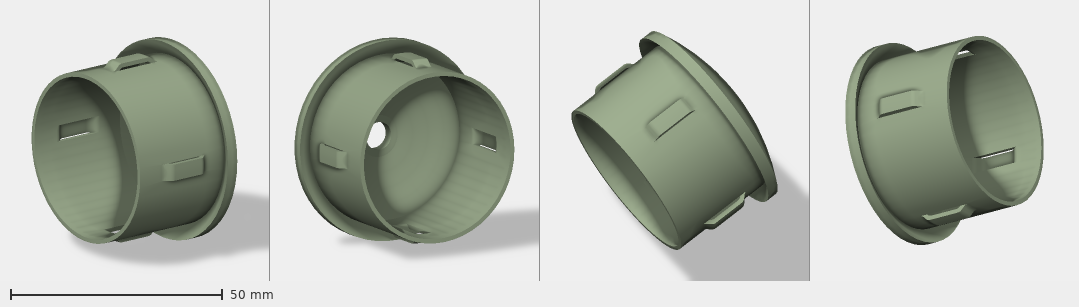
import cadquery as cq
import math

cap_radius = 24.15
rim_height = 2.85
dome_radius = 50.0
flat_radius = 5.0
hole_radius = 3.35

tube_radius = 20.58
wall = 1.0
tube_length = 23.55
bore_radius = tube_radius - wall

strap_count = 4
strap_width = 4.0
strap_length = 13.6
strap_start = 6.4
strap_rise = 1.6
bend_radius = 1.55
ramp_angle = math.radians(45)
ramp_rise = strap_rise - 2 * bend_radius * (1 - math.cos(ramp_angle))
ramp_run = 2 * bend_radius * math.sin(ramp_angle) + ramp_rise / math.tan(ramp_angle)
inner_setback = wall * math.tan(ramp_angle / 2)
strap_middle = strap_start + strap_length / 2


def sphere_drop(radius):
    """Depth of the dome sphere below its pole at a given radius."""
    return dome_radius - math.sqrt(dome_radius**2 - radius**2)


dome_rise = sphere_drop(cap_radius) - sphere_drop(flat_radius)
mid_radius = (flat_radius + cap_radius) / 2
mid_rise = sphere_drop(cap_radius) - sphere_drop(mid_radius)


def revolve_about_y(profile):
    return profile.close().revolve(360, (0, 0), (0, 1))


def make_cap():
    """Shell between two equal domes, one rim height apart, with a central hole."""
    rim_top = tube_length + rim_height
    profile = (
        cq.Workplane("XY")
        .moveTo(hole_radius, tube_length + dome_rise)
        .lineTo(flat_radius, tube_length + dome_rise)
        .threePointArc((mid_radius, tube_length + mid_rise), (cap_radius, tube_length))
        .lineTo(cap_radius, rim_top)
        .threePointArc((mid_radius, rim_top + mid_rise), (flat_radius, rim_top + dome_rise))
        .lineTo(hole_radius, rim_top + dome_rise)
    )
    return revolve_about_y(profile)


def make_tube():
    """Plain tube whose closed end is buried in the dome shell."""
    underside_rise = sphere_drop(cap_radius) - sphere_drop(bore_radius)
    buried_length = tube_length + underside_rise
    profile = (
        cq.Workplane("XY")
        .moveTo(bore_radius, 0)
        .lineTo(tube_radius, 0)
        .lineTo(tube_radius, buried_length)
        .lineTo(bore_radius, buried_length)
    )
    return revolve_about_y(profile)


def revolved_hump(foot_radius, setback):
    """Ring with a raised outer face and a bent ramp at each end; its feet are one wall thick.

    The setback shortens the raised face at both ends, measured along the axis.
    """
    foot_center = foot_radius + bend_radius
    crest_center = foot_radius + strap_rise - bend_radius
    half_length = strap_length / 2 - setback
    base_radius = foot_radius - wall

    def foot_point(angle, end):
        x = foot_center - bend_radius * math.cos(angle)
        return x, strap_middle + end * (half_length - bend_radius * math.sin(angle))

    def crest_point(angle, end):
        x = crest_center + bend_radius * math.cos(angle)
        return x, strap_middle + end * (half_length - ramp_run + bend_radius * math.sin(angle))

    half_angle = ramp_angle / 2
    near, far = -1, 1
    profile = (
        cq.Workplane("XY")
        .moveTo(base_radius, strap_middle - half_length)
        .lineTo(*foot_point(0, near))
        .threePointArc(foot_point(half_angle, near), foot_point(ramp_angle, near))
        .lineTo(*crest_point(ramp_angle, near))
        .threePointArc(crest_point(half_angle, near), crest_point(0, near))
        .lineTo(*crest_point(0, far))
        .threePointArc(crest_point(half_angle, far), crest_point(ramp_angle, far))
        .lineTo(*foot_point(ramp_angle, far))
        .threePointArc(foot_point(half_angle, far), foot_point(0, far))
        .lineTo(base_radius, strap_middle + half_length)
    )
    return revolve_about_y(profile)


def make_windows():
    """Radial blocks that set the place, width and length of the straps."""
    block = (
        cq.Workplane("XY")
        .box(cap_radius, strap_length, strap_width, centered=(False, True, True))
        .translate((0, strap_middle, 0))
    )
    windows = block
    for index in range(1, strap_count):
        windows = windows.union(block.rotate((0, 0, 0), (0, 1, 0), index * 360 / strap_count))
    return windows


windows = make_windows()
outer_hump = revolved_hump(tube_radius, 0)
inner_hump = revolved_hump(bore_radius, inner_setback)
straps = outer_hump.cut(inner_hump).intersect(windows)

result = make_cap().union(make_tube().cut(windows)).union(straps)